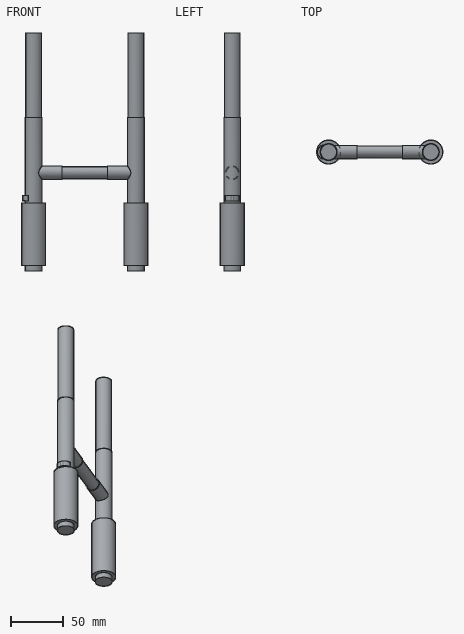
import cadquery as cq

total_height = 224.8
total_width = 119.1
sleeve_diameter = 22.7
post_spacing = total_width - sleeve_diameter

post_diameter = 16.0
upper_rod_diameter = 15.0
sleeve_bottom = 5.2
sleeve_top = 64.5
upper_rod_bottom = 144.8

bar_height = 92.8
bar_diameter = 11.7
socket_diameter = 12.8
socket_reach = 27.0

tab_bottom = 66.3
tab_height = 5.2
tab_reach = 10.3
tab_end_offset = 5.2
tab_half_width = 6.7
tab_flat_half_width = 1.1
tab_bulge_x = 8.8
tab_bulge_y = 4.5


def cylinder(diameter, bottom, top):
    return cq.Workplane("XY").workplane(offset=bottom).circle(diameter / 2).extrude(top - bottom)


def make_post():
    post = cylinder(post_diameter, 0, upper_rod_bottom)
    post = post.union(cylinder(sleeve_diameter, sleeve_bottom, sleeve_top))
    return post.union(cylinder(upper_rod_diameter, upper_rod_bottom, total_height))


def make_bar(diameter, start_x, end_x):
    plane = cq.Workplane("YZ", origin=(start_x, 0, bar_height))
    return plane.circle(diameter / 2).extrude(end_x - start_x)


def make_tab():
    return (
        cq.Workplane("XY", origin=(-post_spacing / 2, 0, tab_bottom))
        .moveTo(-tab_end_offset, -tab_half_width)
        .threePointArc((-tab_bulge_x, -tab_bulge_y), (-tab_reach, -tab_flat_half_width))
        .lineTo(-tab_reach, tab_flat_half_width)
        .threePointArc((-tab_bulge_x, tab_bulge_y), (-tab_end_offset, tab_half_width))
        .lineTo(0, 0)
        .close()
        .extrude(tab_height)
    )


post_x = post_spacing / 2
socket_end_x = post_x - socket_reach

result = make_bar(bar_diameter, -post_x, post_x)
result = result.union(make_bar(socket_diameter, -post_x, -socket_end_x))
result = result.union(make_bar(socket_diameter, socket_end_x, post_x))
for x in (-post_x, post_x):
    result = result.union(make_post().translate((x, 0, 0)))
result = result.union(make_tab())